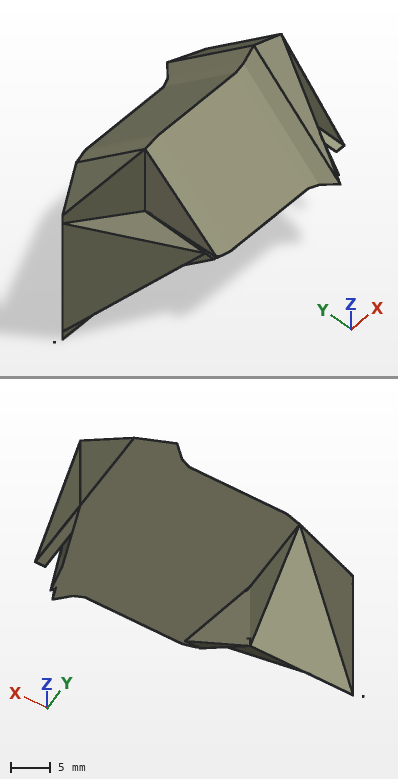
import cadquery as cq


nose_radius = 11.9
core_radius = 10.4
nose_length = 15.3
web_end_x = 17.6

barrel_radius = 12.5
lip_radius = 14.97
end_radius = 12.9
shoulder_start_x = 15.75
shoulder_end_x = 17.2
barrel_start_x = 17.8
barrel_end_x = 32.1
flare_middle_x = 33.5
lip_x = 35.4
end_x = 40.5
shoulder_start_radius = 12.0
shoulder_end_radius = 12.4
flare_middle_radius = 13.1

spur_front_x = 36.0
spur_back_x = 37.2
spur_height = 4.4
spur_tip = (36.4, -13.8, 0)

bracket_radius = 10.9
floor_length = 1.5
sheet_thickness = 0.05

bead_x = -1.5
bead_size = 0.06
bead_z = -(nose_radius + core_radius) / 2


def polyhedron(faces):
    """Solid bounded by flat faces, each given as a list of corner points."""
    flat_faces = []
    for corners in faces:
        outline = cq.Wire.makePolygon([cq.Vector(*corner) for corner in corners], close=True)
        flat_faces.append(cq.Face.makeFromWires(outline))
    return cq.Workplane(cq.Solid.makeSolid(cq.Shell.makeShell(flat_faces)))


def tetrahedron(a, b, c, d):
    return polyhedron([[a, b, c], [a, b, d], [a, c, d], [b, c, d]])


def prism(plan_points, height):
    """Upright prism standing on the XY plane."""
    return cq.Workplane("XY").polyline(plan_points).close().extrude(height)


def nose_wedge(radius, side, back_top_z):
    """Wedge from an upright edge at X = 0 to a corner on one side (+1 or -1 in Y) of the nose back."""
    front_top = (0, 0, radius)
    front_bottom = (0, 0, -radius)
    back_top = (nose_length, 0, back_top_z)
    back_bottom = (nose_length, 0, -radius)
    side_corner = (nose_length, side * radius, 0)
    return polyhedron([
        [front_top, front_bottom, back_bottom, back_top],
        [front_top, front_bottom, side_corner],
        [front_top, back_top, side_corner],
        [front_bottom, back_bottom, side_corner],
        [back_top, back_bottom, side_corner],
    ])


def make_nose():
    outer = nose_wedge(nose_radius, 1, nose_radius)
    core = nose_wedge(core_radius, -1, 0)
    web = tetrahedron(
        (nose_length, 0, 0),
        (nose_length, 0, -nose_radius),
        (nose_length, -nose_radius, 0),
        (web_end_x, -nose_radius, 0),
    )
    return outer.union(core).union(web)


def half_diamond(x, radius):
    """Upper half of a diamond section, across the X axis at x."""
    corners = [(x, -radius, 0), (x, 0, radius), (x, radius, 0)]
    return cq.Wire.makePolygon([cq.Vector(*corner) for corner in corners], close=True)


def bevel_y(x):
    """Y of the bevel plane at x; it runs from the axis at the end to the -Y corner of the lip."""
    return -lip_radius * (end_x - x) / (end_x - lip_x)


def make_spur():
    return tetrahedron(
        (spur_front_x, bevel_y(spur_front_x), 0),
        (spur_back_x, bevel_y(spur_back_x), 0),
        (spur_back_x, bevel_y(spur_back_x), spur_height),
        spur_tip,
    )


def make_sleeve():
    sections = [
        half_diamond(nose_length, nose_radius),
        half_diamond(shoulder_start_x, shoulder_start_radius),
        half_diamond(shoulder_end_x, shoulder_end_radius),
        half_diamond(barrel_start_x, barrel_radius),
        half_diamond(barrel_end_x, barrel_radius),
        half_diamond(flare_middle_x, flare_middle_radius),
        half_diamond(lip_x, lip_radius),
        half_diamond(end_x, end_radius),
    ]
    body = cq.Workplane(cq.Solid.makeLoft(sections, True))
    end_bevel = prism([(end_x, 0), (end_x, -lip_radius), (lip_x, -lip_radius)], lip_radius)
    front_bevel = prism(
        [
            (nose_length, 0),
            (nose_length, -shoulder_start_radius),
            (shoulder_start_x, -shoulder_start_radius),
        ],
        nose_radius,
    )
    return body.cut(end_bevel).cut(front_bevel).union(make_spur())


def make_bracket(neighbour):
    """Thin end wall with a floor strip along its foot, trimmed to fit against its neighbour."""
    wall = (
        cq.Workplane("YZ", origin=(end_x - sheet_thickness, 0, 0))
        .polyline([(0, 0), (-bracket_radius, 0), (0, end_radius)])
        .close()
        .extrude(sheet_thickness)
    )
    floor_start_x = end_x - floor_length
    floor = prism(
        [(floor_start_x, 0), (end_x, 0), (end_x, -bracket_radius), (floor_start_x, -bracket_radius)],
        sheet_thickness,
    )
    return wall.union(floor).cut(neighbour)


def make_bead():
    corner = (bead_x, -bead_size / 2, bead_z - bead_size / 2)
    return cq.Workplane("XY").box(bead_size, bead_size, bead_size, centered=False).translate(corner)


nose = make_nose()
sleeve = make_sleeve()
bracket = make_bracket(sleeve)
bead = make_bead()

bodies = []
for part in (nose, sleeve, bracket, bead):
    bodies += part.solids().vals()
result = cq.Compound.makeCompound(bodies)